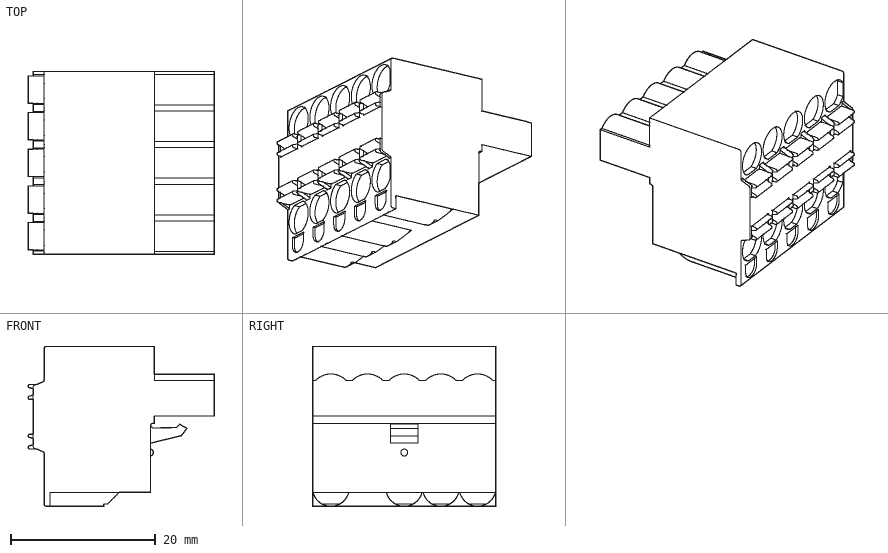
import cadquery as cq
import math

width = 25.3
height = 22.1
length = 25.72
pole_count = 5
pole_pitch = 5.07
pole_positions = [(i - (pole_count - 1) / 2) * pole_pitch for i in range(pole_count)]

face_x = 2.19
upper_back_x = 17.45
lower_back_x = 16.92
floor_z = 1.93
lip_thickness = 0.85
edge_radius = 0.3
step_z = 11.14
step_radius = 0.3

nose_z = 12.37
nose_x = 0.7
nose_half_root = 5.02
nose_half_slope_start = 4.8
nose_half_slope_end = 4.37
nose_half_front = 4.06
nose_root_run = 0.23
nose_corner_run = 0.2
nose_root_radius = 0.3
nose_corner_radius = 0.3

slot_width = 4.12
slot_inner = 2.31
lever_width = 3.8
lever_inner = 2.4
lever_outer = 4.48
bar_tip = 0.5
bar_root = 0.77
groove_depth = 0.15
bar_root_x = 1.08

entry_radius = 2.35
entry_offset_y = -0.2
entry_half_spread = 6.95
entry_inner_flat = 2.08
entry_outer_flat = 2.19
entry_depth = 0.87
entry_wall = 0.25

test_width = 2.7
test_top_z = 2.9
test_bottom_z = 0.4
test_depth = 0.35

rib_radius = pole_pitch / 2
rib_end_x = 12.58
rib_step_z = 0.3
rib_step_x = 10.47

plug_bottom_z = 12.45
plug_shoulder_z = 17.39
plug_top_z = 18.29
dome_width = 4.22

latch_width = lever_width
latch_root_z = 8.72
latch_tip_bottom = (21.17, 9.75)
latch_tip = (21.96, 10.78)
latch_barb = (20.94, 11.35)
latch_barb_root = (20.5, 10.9)
latch_top_root = (17.15, 10.83)
bump_z = 7.43
bump_radius = 0.5
bump_height = 0.39


def side_profile(depth):
    """Empty XZ sketch plane whose extrusion is centred on Y = 0."""
    return cq.Workplane("XZ", origin=(0, depth / 2, 0))


def x_box(x_min, x_max, y_size, z_min, z_max, y=0):
    box = cq.Workplane("XY").box(x_max - x_min, y_size, z_max - z_min, centered=(False, True, False))
    return box.translate((x_min, y, z_min))


def make_housing():
    block = (
        side_profile(width)
        .moveTo(face_x, 0)
        .lineTo(face_x + lip_thickness, 0)
        .lineTo(face_x + lip_thickness, floor_z)
        .lineTo(lower_back_x, floor_z)
        .lineTo(lower_back_x, step_z)
        .radiusArc((lower_back_x + step_radius, step_z + step_radius), step_radius)
        .lineTo(upper_back_x, step_z + step_radius)
        .lineTo(upper_back_x, height)
        .lineTo(face_x, height)
        .close()
        .extrude(width)
    )
    return block.edges("|Y and <X").fillet(edge_radius)


def make_half_nose():
    """Upper half of the nose, from its middle plane up to its root on the face."""
    slope_start = (face_x - nose_root_run, nose_z + nose_half_slope_start)
    slope_end = (nose_x + nose_corner_run, nose_z + nose_half_slope_end)
    return (
        side_profile(width)
        .moveTo(face_x, nose_z)
        .lineTo(nose_x, nose_z)
        .lineTo(nose_x, nose_z + nose_half_front)
        .radiusArc(slope_end, nose_corner_radius)
        .lineTo(*slope_start)
        .radiusArc((face_x, nose_z + nose_half_root), -nose_root_radius)
        .close()
        .extrude(width)
    )


def make_half_slot(y):
    return x_box(nose_x, face_x, slot_width, nose_z + slot_inner, nose_z + nose_half_root, y)


def make_upper_lever(y):
    """Block with two round tipped bars and a shallow round groove between them."""
    inner_z = nose_z + lever_inner
    outer_z = nose_z + lever_outer
    tip_radius = bar_tip / 2
    return (
        side_profile(lever_width)
        .moveTo(face_x, inner_z)
        .lineTo(tip_radius, inner_z)
        .threePointArc((0, inner_z + tip_radius), (tip_radius, inner_z + bar_tip))
        .lineTo(bar_root_x, inner_z + bar_root)
        .threePointArc(
            (bar_root_x + groove_depth, (inner_z + outer_z) / 2),
            (bar_root_x, outer_z - bar_root),
        )
        .lineTo(tip_radius, outer_z - bar_tip)
        .threePointArc((0, outer_z - tip_radius), (tip_radius, outer_z))
        .lineTo(face_x, outer_z)
        .close()
        .extrude(lever_width)
        .translate((0, y, 0))
    )


def mirror_about_nose(shape):
    return shape.mirror("XY", (0, 0, nose_z))


def make_entry_pocket(y, z, reach_down, reach_up):
    """Round pocket cut off by flats at the given reaches below and above its axis."""
    axis_y = y + entry_offset_y
    disc = (
        cq.Workplane("YZ", origin=(face_x, axis_y, z))
        .circle(entry_radius)
        .extrude(entry_depth)
    )
    open_width = width - 2 * entry_wall
    limits = x_box(face_x, face_x + entry_depth, open_width, z - reach_down, z + reach_up)
    return disc.intersect(limits)


def make_test_pocket(y):
    radius = test_width / 2
    arc_z = test_bottom_z + radius
    return (
        cq.Workplane("YZ", origin=(face_x, y, 0))
        .moveTo(-radius, test_top_z)
        .lineTo(-radius, arc_z)
        .threePointArc((0, test_bottom_z), (radius, arc_z))
        .lineTo(radius, test_top_z)
        .close()
        .extrude(test_depth)
    )


def make_ribs():
    """Round bottomed ribs, cut at 45 degrees and stepped at their back end."""
    start_x = face_x + lip_thickness
    slope_end_x = rib_end_x - (floor_z - rib_step_z)
    envelope = (
        side_profile(width)
        .moveTo(start_x, 0)
        .lineTo(rib_step_x, 0)
        .lineTo(rib_step_x, rib_step_z)
        .lineTo(slope_end_x, rib_step_z)
        .lineTo(rib_end_x, floor_z)
        .lineTo(start_x, floor_z)
        .close()
        .extrude(width)
    )
    rods = (
        cq.Workplane("YZ", origin=(start_x, 0, rib_radius))
        .pushPoints([(y, 0) for y in pole_positions])
        .circle(rib_radius)
        .extrude(rib_end_x - start_x)
    )
    return rods.intersect(envelope)


def make_plug():
    plug = x_box(upper_back_x, length, width, plug_bottom_z, plug_shoulder_z)
    for y in pole_positions:
        dome = (
            cq.Workplane("YZ", origin=(upper_back_x, y, plug_shoulder_z))
            .moveTo(-dome_width / 2, 0)
            .threePointArc((0, plug_top_z - plug_shoulder_z), (dome_width / 2, 0))
            .close()
            .extrude(length - upper_back_x)
        )
        plug = plug.union(dome)
    return plug


def make_latch():
    """Tapered arm with a barbed tip."""
    return (
        side_profile(latch_width)
        .moveTo(lower_back_x, latch_root_z)
        .lineTo(*latch_tip_bottom)
        .lineTo(*latch_tip)
        .lineTo(*latch_barb)
        .lineTo(*latch_barb_root)
        .lineTo(*latch_top_root)
        .lineTo(lower_back_x, step_z)
        .close()
        .extrude(latch_width)
    )


def make_bump():
    """Shallow spherical cap on the lower back face."""
    half_angle = math.acos(1 - bump_height / bump_radius)
    rim = bump_radius * math.sin(half_angle)
    middle_x = bump_radius * (math.cos(half_angle / 2) - math.cos(half_angle))
    middle_z = bump_radius * math.sin(half_angle / 2)
    return (
        cq.Workplane("XZ", origin=(lower_back_x, 0, bump_z))
        .lineTo(0, rim)
        .threePointArc((middle_x, middle_z), (bump_height, 0))
        .close()
        .revolve(360, (0, 0, 0), (1, 0, 0))
    )


half_nose = make_half_nose()
for y in pole_positions:
    half_nose = half_nose.cut(make_half_slot(y)).union(make_upper_lever(y))

result = make_housing().union(half_nose).union(mirror_about_nose(half_nose))
upper_row_z = nose_z + entry_half_spread
lower_row_z = nose_z - entry_half_spread
for y in pole_positions:
    result = result.cut(make_entry_pocket(y, upper_row_z, entry_inner_flat, entry_radius))
    result = result.cut(make_entry_pocket(y, lower_row_z, entry_outer_flat, entry_inner_flat))
    result = result.cut(make_test_pocket(y))
result = result.union(make_ribs()).union(make_plug()).union(make_latch()).union(make_bump())